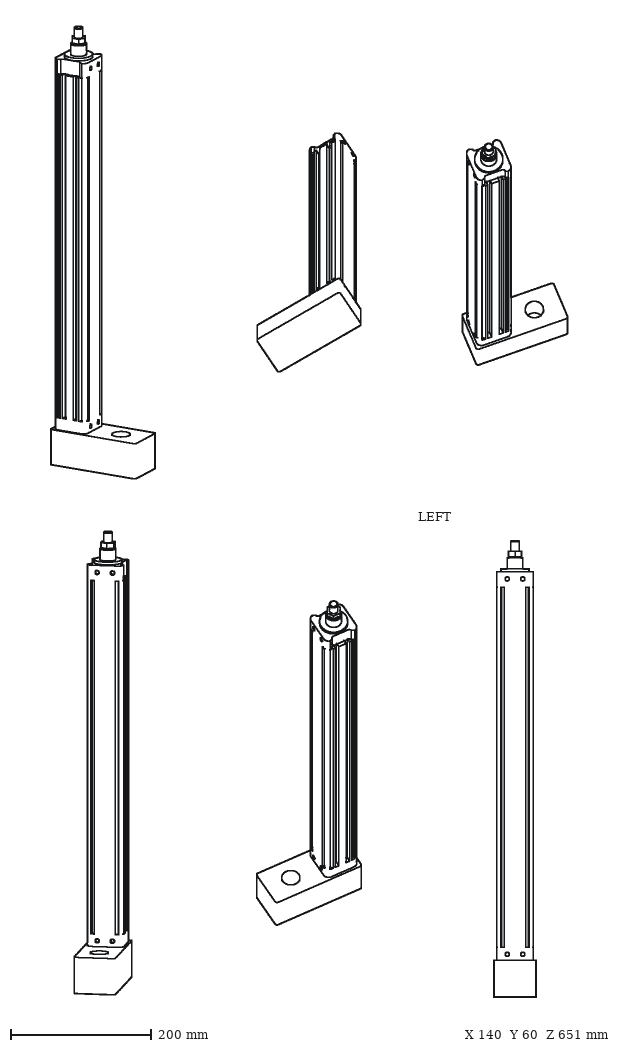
import cadquery as cq

block_length = 140.0
block_width = 60.0
block_height = 53.0
block_edge_radius = 3.0
block_left = -block_width / 2
bore_diameter = 26.0
bore_depth = 39.0
bore_x = 69.5

profile_side = 53.0
profile_half = profile_side / 2
profile_top = 607.0
profile_edge_radius = 8.0

lower_end_length = 18.0
upper_end_length = 22.0
channel_bottom = block_height + lower_end_length
channel_top = profile_top - upper_end_length
channel_length = channel_top - channel_bottom

groove_inner = 15.0
groove_floor_inner = 19.0
groove_outer = 20.0
groove_depth = 4.5

slot_inner = 6.0
slot_outer = 12.0
slot_depth = 8.0

recess_half = 15.5
recess_depth = 5.0
recess_floor_radius = 3.0
recess_mouth_half = 20.0

screw_diameter = 6.0
screw_depth = 5.0
screw_offset = 11.0
lower_screw_distance = 8.5
upper_screw_distance = 10.5

collar_diameter = 40.5
collar_top = 610.5
rod_diameter = 23.0
rod_top = 626.0
neck_diameter = 17.0
nut_bottom = 628.0
nut_top = 636.0
nut_sides = 6
nut_corner_diameter = 21.5
tip_diameter = 12.5
tip_top = 651.0
tip_chamfer = 1.0


def cylinder(diameter, bottom, top):
    return cq.Workplane("XY").workplane(offset=bottom).circle(diameter / 2).extrude(top - bottom)


def turned(shape, angle):
    return shape.rotate((0, 0, 0), (0, 0, 1), angle)


def make_block():
    block = (
        cq.Workplane("XY")
        .box(block_length, block_width, block_height, centered=(False, True, False))
        .translate((block_left, 0, 0))
        .edges("|Z")
        .fillet(block_edge_radius)
    )
    bore = cylinder(bore_diameter, block_height - bore_depth, block_height)
    return block.cut(bore.translate((bore_x, 0, 0)))


def groove_pair():
    """Grooves with a sloped inner wall beside both edges of the -Y face."""
    groove = (
        cq.Workplane("XY")
        .workplane(offset=channel_bottom)
        .moveTo(groove_inner, -profile_half)
        .lineTo(groove_floor_inner, groove_depth - profile_half)
        .lineTo(groove_outer, groove_depth - profile_half)
        .lineTo(groove_outer, -profile_half)
        .close()
        .extrude(channel_length)
    )
    return groove.union(groove.mirror("YZ"))


def slot_pair():
    """Straight slots on both sides of the middle of the -Y face."""
    slot = (
        cq.Workplane("XY")
        .box(slot_outer - slot_inner, slot_depth, channel_length, centered=False)
        .translate((slot_inner, -profile_half, channel_bottom))
    )
    return slot.union(slot.mirror("YZ"))


def end_recess():
    """Recess in the -Y face, with walls that curve into the floor and slope out to the face."""
    floor_y = recess_depth - profile_half
    floor_half = recess_half - recess_floor_radius
    wall_y = floor_y - recess_floor_radius
    return (
        cq.Workplane("XY")
        .workplane(offset=channel_top)
        .moveTo(-recess_mouth_half, -profile_half)
        .lineTo(recess_mouth_half, -profile_half)
        .lineTo(recess_half, wall_y)
        .radiusArc((floor_half, floor_y), -recess_floor_radius)
        .lineTo(-floor_half, floor_y)
        .radiusArc((-recess_half, wall_y), -recess_floor_radius)
        .close()
        .extrude(upper_end_length)
    )


def screw_holes():
    heights = (block_height + lower_screw_distance, profile_top - upper_screw_distance)
    points = [(y, z) for y in (-screw_offset, screw_offset) for z in heights]
    holes = (
        cq.Workplane("YZ")
        .workplane(offset=-profile_half)
        .pushPoints(points)
        .circle(screw_diameter / 2)
        .extrude(screw_depth)
    )
    return holes.union(holes.mirror("YZ"))


def make_profile():
    profile = (
        cq.Workplane("XY")
        .workplane(offset=block_height)
        .rect(profile_side, profile_side)
        .extrude(profile_top - block_height)
        .edges("|Z")
        .fillet(profile_edge_radius)
    )
    for angle in (0, 90, 180, 270):
        profile = profile.cut(turned(groove_pair(), angle))
    for angle in (0, 180):
        profile = profile.cut(turned(slot_pair(), angle)).cut(turned(end_recess(), angle))
    return profile.cut(screw_holes())


def make_rod_end():
    rod = cylinder(rod_diameter, profile_top, rod_top)
    neck = cylinder(neck_diameter, rod_top, nut_bottom)
    nut = (
        cq.Workplane("XY")
        .workplane(offset=nut_bottom)
        .polygon(nut_sides, nut_corner_diameter)
        .extrude(nut_top - nut_bottom)
    )
    collar = cylinder(collar_diameter, profile_top, collar_top)
    tip = cylinder(tip_diameter, nut_top, tip_top).faces(">Z").chamfer(tip_chamfer)
    return collar.union(rod).union(neck).union(nut).union(tip)


result = make_block().union(make_profile()).union(make_rod_end())